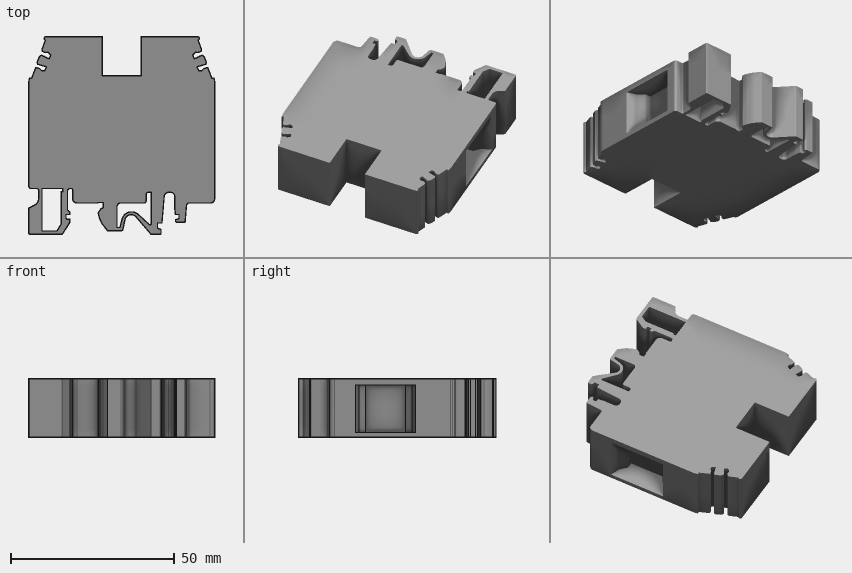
import cadquery as cq
import math

width = 57.0
height = 60.5
thickness = 18.0

body_bottom = 9.55
shoulder_bottom = 14.0
relief_top = 12.8
foot_floor = 1.1
notch_top = 6.05

top_slot_width = 11.9
top_slot_depth = 11.9

entry_low_y = 17.5
entry_high_y = 35.8
entry_bottom_z = 1.45
entry_height = 14.65
mouth_depth = 3.0
mouth_taper = 1.1
funnel_step = 2.0
throat_depth = 2.0


def rounded_outline(corners):
    """Closed wire along (x, y) corners; a third value is the corner radius."""
    pieces = []
    for i, corner in enumerate(corners):
        point = cq.Vector(corner[0], corner[1])
        radius = corner[2] if len(corner) > 2 else 0
        if radius == 0:
            pieces.append((point, point, point))
            continue
        before = corners[i - 1]
        after = corners[(i + 1) % len(corners)]
        to_before = (cq.Vector(before[0], before[1]) - point).normalized()
        to_after = (cq.Vector(after[0], after[1]) - point).normalized()
        half_angle = to_before.getAngle(to_after) / 2
        tangent = radius / math.tan(half_angle)
        sagitta = radius / math.sin(half_angle) - radius
        middle = point + (to_before + to_after).normalized() * sagitta
        pieces.append((point + to_before * tangent, middle, point + to_after * tangent))

    edges = []
    for i, (start, middle, end) in enumerate(pieces):
        if start != end:
            edges.append(cq.Edge.makeThreePointArc(start, middle, end))
        next_start = pieces[(i + 1) % len(pieces)][0]
        edges.append(cq.Edge.makeLine(end, next_start))
    return cq.Wire.assembleEdges(edges)


def prism(corners, depth=thickness):
    """Extrude a rounded outline upwards from Z = 0."""
    face = cq.Face.makeFromWires(rounded_outline(corners))
    return cq.Workplane(cq.Solid.extrudeLinear(face, cq.Vector(0, 0, depth)))



left_foot = [
    (0, shoulder_bottom, 0.85),
    (3.0, shoulder_bottom, 0.5),
    (3.0, 9.6, 2.2),
    (0, 8.05),
    (0, 0, 0.3),
    (10.35, 0, 0.3),
    (12.6, 3.6),
    (12.6, 4.65),
    (11.5, 4.65, 0.35),
    (11.5, notch_top),
    (12.6, notch_top),
    (12.6, 6.85),
    (11.9, 7.45),
    (11.9, shoulder_bottom, 0.7),
    (13.45, shoulder_bottom, 0.35),
    (13.45, body_bottom, 1.4),
]

nose = [
    (21.2, body_bottom),
    (21.4, 9.75),
    (22.8, 9.75),
    (22.8, 8.05, 0.25),
    (22.15, 7.9, 0.5),
    (21.25, 6.6),
    (21.6, 5.15, 3.6),
    (22.3, 3.4, 4.85),
    (24.15, foot_floor),
]

spring_and_latch = [
    (28.8, foot_floor, 0.6),
    (30.3, 8.3, 1.95),
    (37.45, 0, 0.3),
    (40.55, 0, 0.3),
    (40.55, 1.5, 0.25),
    (39.45, 1.9, 0.25),
    (39.45, 3.45),
    (40.85, 3.45),
    (41.6, relief_top, 1.35),
    (44.65, relief_top, 1.15),
]

right_foot = [
    (44.65, 8.15),
    (44.9, notch_top),
    (46.0, notch_top),
    (46.0, 4.8, 0.25),
    (44.9, 4.55, 0.1),
    (44.9, 4.0),
    (45.25, 3.6),
    (47.9, 3.6, 0.2),
    (48.4, body_bottom, 0.8),
    (width, body_bottom, 1.45),
]

tag_corner = [
    (4.7, height, 0.6),
    (4.7, 59.7),
    (5.1, 59.4),
    (3.9, 56.15, 0.65),
    (5.15, 55.6),
    (5.85, 55.7),
    (6.7, 54.95),
    (6.3, 53.7),
    (3.9, 54.9),
    (3.2, 54.25),
    (2.55, 52.7),
    (2.8, 52.0),
    (5.45, 51.25),
    (4.85, 50.1),
    (4.0, 50.1),
    (3.3, 50.75),
    (2.5, 51.0),
    (2.1, 51.0),
    (0.85, 47.7),
    (0.5, 47.9),
    (0.25, 47.9),
    (0, 46.8, 3.0),
]

mirrored_tag_corner = [(width - c[0], *c[1:]) for c in reversed(tag_corner)]

top_slot_left = (width - top_slot_width) / 2
top_slot_right = top_slot_left + top_slot_width
top_slot_floor = height - top_slot_depth
top_slot = [
    (top_slot_right, height),
    (top_slot_right, top_slot_floor),
    (top_slot_left, top_slot_floor),
    (top_slot_left, height),
]

body = prism(
    left_foot + nose + spring_and_latch + right_foot + mirrored_tag_corner + top_slot + tag_corner
)


left_foot_window = prism([
    (4.1, foot_floor),
    (8.65, foot_floor),
    (9.9, 3.15),
    (9.9, 13.05),
    (10.4, 13.05),
    (10.4, shoulder_bottom),
    (4.1, shoulder_bottom),
])

spring_window = prism([
    (27.1, 2.1),
    (27.9, 2.1),
    (29.9, 9.5, 3.0),
    (36.95, 2.95, 0.35),
    (37.5, 2.95, 0.25),
    (37.5, relief_top),
    (36.0, relief_top, 0.65),
    (36.0, body_bottom, 0.65),
    (27.1, body_bottom, 1.0),
])


throat_start = mouth_depth + funnel_step
entry_end = throat_start + throat_depth
neck_inset = mouth_taper + funnel_step
left_entry = prism(
    [
        (0, entry_low_y),
        (mouth_depth, entry_low_y + mouth_taper),
        (throat_start, entry_low_y + neck_inset),
        (entry_end, entry_low_y + neck_inset),
        (entry_end, entry_high_y - neck_inset),
        (throat_start, entry_high_y - neck_inset),
        (mouth_depth, entry_high_y - mouth_taper),
        (0, entry_high_y),
    ],
    entry_height,
).translate((0, 0, entry_bottom_z))
right_entry = left_entry.mirror("YZ", (width / 2, 0, 0))

result = body.cut(left_foot_window).cut(spring_window).cut(left_entry).cut(right_entry)